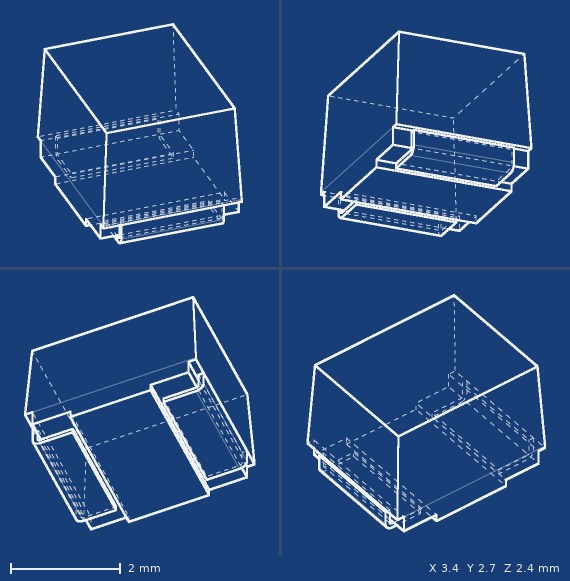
import cadquery as cq

length = 3.4
width = 2.7
height = 2.4
seam_height = 0.5
cap_inset = 0.1
lead_thickness = 0.1
lead_gap = 0.05
lead_width = 2.0
foot_length = 0.8
foot_end_gap = 0.102
inner_bend_radius = 0.05

half_length = length / 2
base_inset = lead_thickness + lead_gap
base_end = half_length - base_inset
ledge_height = lead_thickness + lead_gap
lead_height = seam_height - lead_gap
pad_end = half_length - foot_length - foot_end_gap
outer_bend_radius = inner_bend_radius + lead_thickness


def make_cap():
    """Rectangular cap whose four sides lean inward to the top."""
    return (
        cq.Workplane("XY", origin=(0, 0, seam_height))
        .rect(length, width)
        .workplane(offset=height - seam_height)
        .rect(length - 2 * cap_inset, width - 2 * cap_inset)
        .loft(ruled=True)
    )


def make_base():
    """Stepped base with a central pad and a lip over the +X lead."""
    return (
        cq.Workplane("XZ")
        .moveTo(-base_end, seam_height)
        .lineTo(-base_end, ledge_height)
        .lineTo(-pad_end, ledge_height)
        .lineTo(-pad_end, 0)
        .lineTo(pad_end, 0)
        .lineTo(pad_end, ledge_height)
        .lineTo(base_end, ledge_height)
        .lineTo(base_end, lead_height)
        .lineTo(half_length, lead_height)
        .lineTo(half_length, seam_height)
        .close()
        .extrude(width / 2, both=True)
    )


def make_housing():
    """Cap and base joined as one moulded body."""
    return make_cap().union(make_base())


def make_lead(side):
    """L-shaped bent lead; side is -1 for the -X end and 1 for the +X end."""
    outer_x = side * half_length
    inner_x = side * (half_length - lead_thickness)
    foot_x = side * (half_length - foot_length)
    lead = (
        cq.Workplane("XZ")
        .moveTo(outer_x, lead_height)
        .lineTo(outer_x, 0)
        .lineTo(foot_x, 0)
        .lineTo(foot_x, lead_thickness)
        .lineTo(inner_x, lead_thickness)
        .lineTo(inner_x, lead_height)
        .close()
        .extrude(lead_width / 2, both=True)
    )
    outer_corner = cq.selectors.NearestToPointSelector((outer_x, 0, 0))
    inner_corner = cq.selectors.NearestToPointSelector((inner_x, 0, lead_thickness))
    lead = lead.edges("|Y").edges(outer_corner).fillet(outer_bend_radius)
    return lead.edges("|Y").edges(inner_corner).fillet(inner_bend_radius)


housing = make_housing()
leads = [make_lead(side) for side in (-1, 1)]

result = cq.Compound.makeCompound([housing.val(), *[lead.val() for lead in leads]])